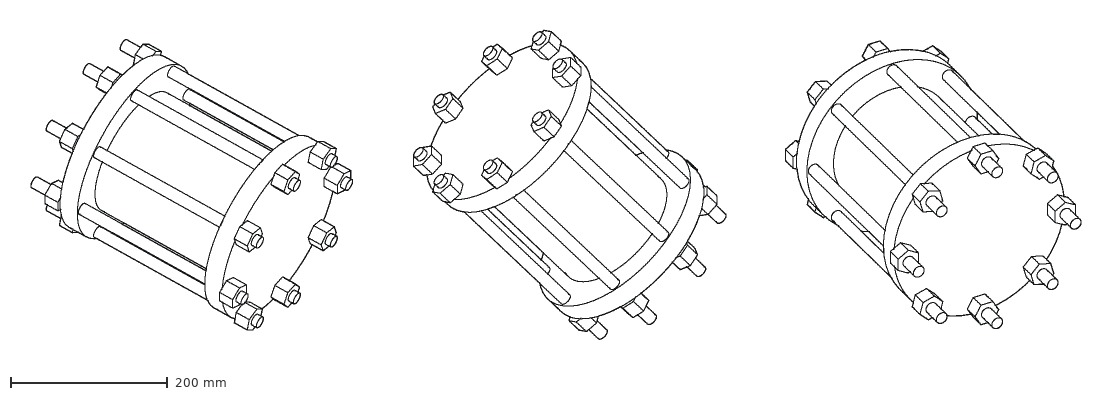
import cadquery as cq
import math

total_length = 330.0
long_rod_end = 27.0
nut_height = 20.5
plate_thickness = 27.0
body_length = 200.0

plate_diameter = 250.0
body_diameter = 172.3
bolt_circle_diameter = 230.0
rod_diameter = 16.0
nut_across_flats = 30.0
rod_count = 8
nut_sides = 6

nut_across_corners = nut_across_flats / math.cos(math.pi / nut_sides)

front_plate_x = long_rod_end + nut_height
body_x = front_plate_x + plate_thickness
back_plate_x = body_x + body_length
back_nut_x = back_plate_x + plate_thickness


def disc(start_x, length, diameter):
    """Solid cylinder on the vessel axis."""
    return cq.Workplane("YZ", origin=(start_x, 0, 0)).circle(diameter / 2).extrude(length)


def hex_nut(start_x):
    """Hexagonal nut on the X axis with two flats facing +Z and -Z."""
    return (
        cq.Workplane("YZ", origin=(start_x, 0, 0))
        .polygon(nut_sides, nut_across_corners)
        .extrude(nut_height)
    )


def tie_rod():
    """Tie rod with its two nuts, at the top of the bolt circle."""
    rod = disc(0, total_length, rod_diameter)
    rod = rod.union(hex_nut(long_rod_end)).union(hex_nut(back_nut_x))
    return rod.translate((0, 0, bolt_circle_diameter / 2))


result = disc(body_x, body_length, body_diameter)
for plate_x in (front_plate_x, back_plate_x):
    result = result.union(disc(plate_x, plate_thickness, plate_diameter))

for index in range(rod_count):
    angle = index * 360 / rod_count
    result = result.union(tie_rod().rotate((0, 0, 0), (1, 0, 0), angle))